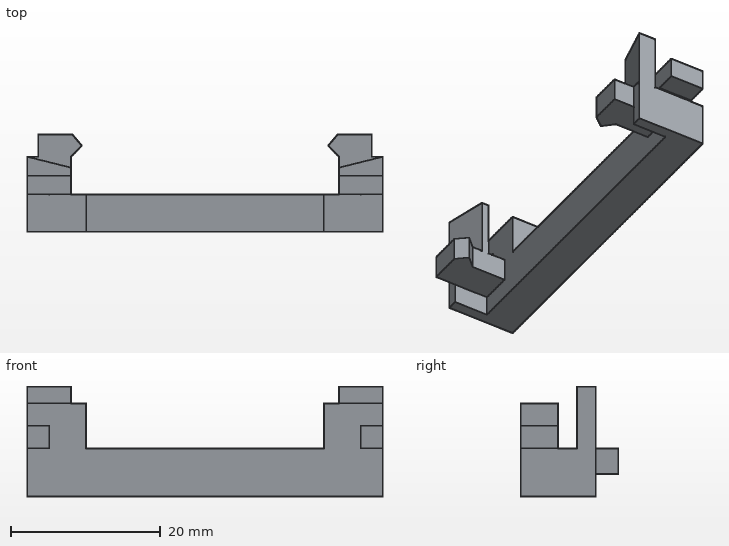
import cadquery as cq

length = 47.5
bar_depth = 5.0
bar_height = 6.4

block_width = 7.9
block_height = 6.05
notch_depth = 2.95
notch_height = block_height / 2

arm_width = 5.9
arm_back = 10.0
wall_front = 7.5
wall_inner_back = 8.55
overall_height = 14.7

hook_bottom = 3.0
hook_outer_inset = 1.45
hook_tip_x = 7.3
hook_tip_y = 11.5
hook_back = 13.0
hook_back_corner_x = 6.05


def box(x_size, y_size, z_size, x=0.0, y=0.0, z=0.0):
    """Box with its minimum corner at (x, y, z)."""
    return cq.Workplane("XY").box(x_size, y_size, z_size, centered=False).translate((x, y, z))


def prism(points, bottom, top):
    """Vertical prism over a plan outline."""
    return cq.Workplane("XY").workplane(offset=bottom).polyline(points).close().extrude(top - bottom)


def end_block():
    block = box(block_width, bar_depth, block_height, z=bar_height)
    notch = box(notch_depth, bar_depth, notch_height, z=bar_height)
    return block.cut(notch)


def arm():
    """Arm undercut to the hook's underside, leaving a full-height plate on its outer side."""
    body = box(arm_width, arm_back, bar_height)
    undercut = box(
        arm_width - hook_outer_inset,
        arm_back - bar_depth,
        hook_bottom,
        x=hook_outer_inset,
        y=bar_depth,
    )
    return body.cut(undercut)


def upright_wall():
    """Wall that is thinner toward the middle of the part."""
    outline = [
        (0, wall_front),
        (arm_width, wall_front),
        (arm_width, wall_inner_back),
        (0, arm_back),
    ]
    return prism(outline, bar_height, overall_height)


def hook():
    outline = [
        (hook_outer_inset, arm_back),
        (arm_width, arm_back),
        (hook_tip_x, hook_tip_y),
        (hook_back_corner_x, hook_back),
        (hook_outer_inset, hook_back),
    ]
    return prism(outline, hook_bottom, bar_height)


left_end = arm().union(end_block()).union(upright_wall()).union(hook())
right_end = left_end.mirror("YZ").translate((length, 0, 0))
crossbar = box(length, bar_depth, bar_height)

result = crossbar.union(left_end).union(right_end).clean()